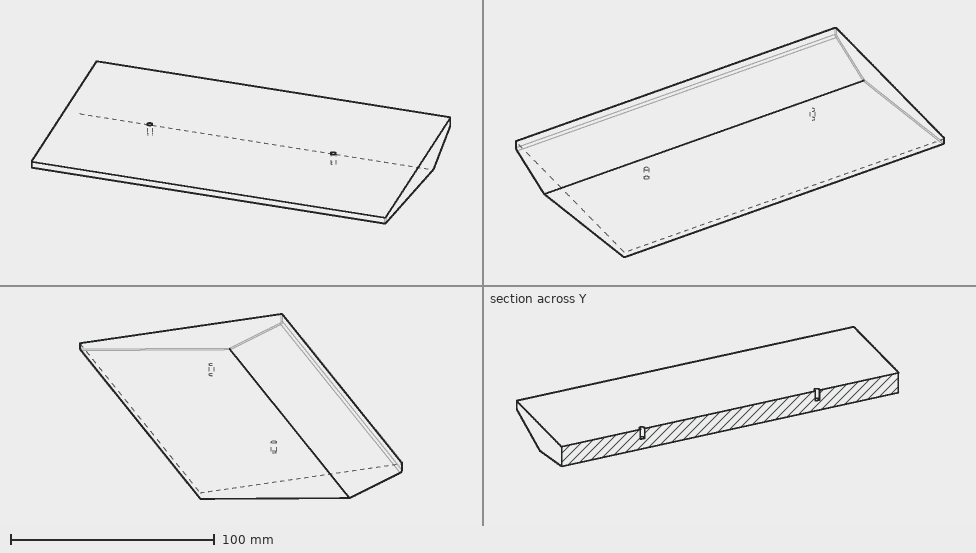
import cadquery as cq

length = 182.6
width = 105.0
depth = 15.0

front_edge_height = 3.7
back_edge_height = 5.0
ridge_from_back = 27.2

end_edge_radius = 0.5
front_edge_radius = 1.0
back_edge_radius = 1.5

hole_diameter = 2.5
hole_depth = 5.5
hole_spacing = 94.6
hole_y = 0.7


def wedge():
    """Prism along X whose two sloping undersides meet in a ridge."""
    front = -width / 2
    back = width / 2
    profile = [
        (front, 0),
        (back, 0),
        (back, -back_edge_height),
        (back - ridge_from_back, -depth),
        (front, -front_edge_height),
    ]
    return cq.Workplane("YZ").polyline(profile).close().extrude(length / 2, both=True)


def round_edges(body):
    """Round the lower back and front edges, then both end outlines below the top face."""
    body = body.faces(">Y").edges("<Z").fillet(back_edge_radius)
    body = body.faces("<Y").edges("<Z").fillet(front_edge_radius)
    end_edges = body.faces("<X or >X").edges("not >Z")
    return end_edges.fillet(end_edge_radius)


def cut_holes(body):
    """Sink the pair of flat-bottomed holes into the top face."""
    centres = [(side * hole_spacing / 2, hole_y) for side in (-1, 1)]
    holes = (
        cq.Workplane("XY")
        .pushPoints(centres)
        .circle(hole_diameter / 2)
        .extrude(-hole_depth)
    )
    return body.cut(holes)


result = cut_holes(round_edges(wedge()))